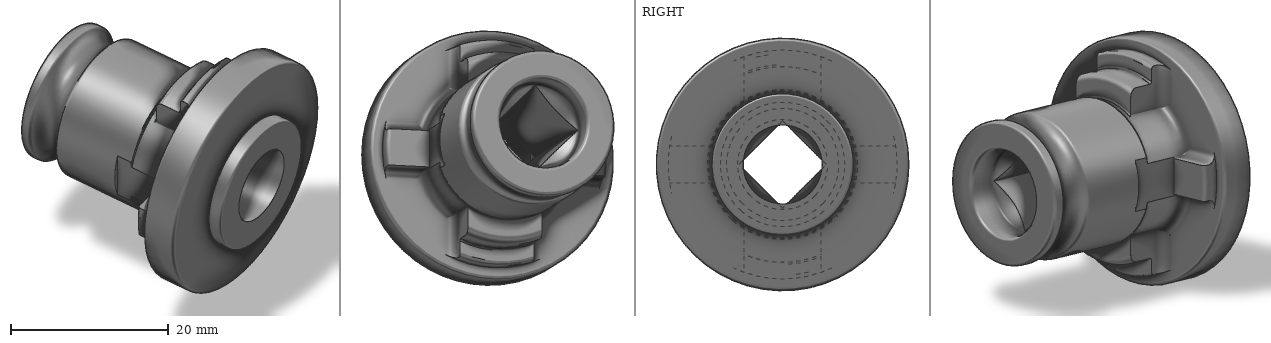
import cadquery as cq
import math

flat_start = 14.75
sleeve_end = 16.85
high_lug_front = 17.95
low_lug_front = 21.65
plate_front = 23.75
plate_back = 28.45
neck_end = 28.95
total_length = 30.8

collar_radius = 18.65 / 2
sleeve_radius = 19.0 / 2
hub_radius = 18.5 / 2
plate_radius = 32.0 / 2
neck_radius = 14.2 / 2
rear_flange_radius = 17.9 / 2

collar_round = 0.45
groove_edge_round = 0.48
step_round = 0.12
plate_round = 0.4
rear_round = 0.3
root_fillet = 1.28

groove_middle = 3.55
groove_floor_radius = 7.87
groove_arc_radius = 2.15

low_lug_radius = 14.5
low_lug_round = 0.48
high_lug_radius = 24.77 / 2
high_lug_round = 1.0
lug_step_fillet = 0.25
z_lug_width = 9.75
y_lug_width = 4.67
lug_back = (plate_front + plate_back) / 2
lug_base_fillet = 0.22
flat_distance = 8.9

bore_radius = 11.4 / 2
bore_depth = 3.8
bore_tip_half_angle = 60.0
mouth_round = 0.48
bore_floor_fillet = 0.48
socket_side = 7.85
rear_bore_radius = 10.0 / 2
rear_bore_start = plate_front

TOLERANCE = 3.2e-05


def revolve_x(profile):
    """Revolve a closed profile drawn as (x, radius) about the X axis."""
    return profile.close().revolve(360, (0, 0, 0), (1, 0, 0))


def groove_edge_x(radius, side):
    """X of the sharp edge where the groove arc meets a cylinder of the given radius."""
    arc_centre_radius = groove_floor_radius + groove_arc_radius
    half_width = math.sqrt(groove_arc_radius**2 - (arc_centre_radius - radius) ** 2)
    return groove_middle + side * half_width


def round_rim(body, x, radius, size):
    """Fillet the circular edge that lies at the given station and radius."""

    def is_rim(edge):
        if edge.geomType() != "CIRCLE":
            return False
        return math.isclose(edge.arcCenter().x, x, abs_tol=TOLERANCE) and math.isclose(
            edge.radius(), radius, abs_tol=TOLERANCE
        )

    return body.edges().filter(is_rim).fillet(size)


def make_turned_body():
    """Collar, groove, sleeve, hub, plate, neck and rear flange in one turning."""
    left_edge = groove_edge_x(collar_radius, -1)
    right_edge = groove_edge_x(sleeve_radius, 1)
    body = revolve_x(
        cq.Workplane("XY")
        .lineTo(0, collar_radius)
        .lineTo(left_edge, collar_radius)
        .threePointArc((groove_middle, groove_floor_radius), (right_edge, sleeve_radius))
        .lineTo(sleeve_end, sleeve_radius)
        .lineTo(sleeve_end, hub_radius)
        .lineTo(plate_front, hub_radius)
        .lineTo(plate_front, plate_radius)
        .lineTo(plate_back, plate_radius)
        .lineTo(plate_back, neck_radius)
        .lineTo(neck_end, neck_radius)
        .lineTo(neck_end, rear_flange_radius)
        .lineTo(total_length, rear_flange_radius)
        .lineTo(total_length, 0)
    )
    rims = [
        (0, collar_radius, collar_round),
        (left_edge, collar_radius, groove_edge_round),
        (right_edge, sleeve_radius, groove_edge_round),
        (sleeve_end, sleeve_radius, step_round),
        (sleeve_end, hub_radius, step_round),
        (plate_front, hub_radius, root_fillet),
        (plate_front, plate_radius, plate_round),
        (plate_back, plate_radius, plate_round),
        (total_length, rear_flange_radius, rear_round),
    ]
    for x, radius, size in rims:
        body = round_rim(body, x, radius, size)
    return body


def make_lug_ring(front, radius, front_round):
    """Solid ring, rounded at its front rim, that the lugs are cut from."""
    ring = revolve_x(
        cq.Workplane("XY")
        .moveTo(front, 0)
        .lineTo(front, radius)
        .lineTo(lug_back, radius)
        .lineTo(lug_back, 0)
    )
    return round_rim(ring, front, radius, front_round)


def make_lug_bar(front, width):
    """Bar across the axis along Z, flaring with root fillets where it meets the plate."""
    half = width / 2
    fillet_front = plate_front - root_fillet
    foot = half + root_fillet
    bulge = root_fillet * (1 - math.sqrt(0.5))
    return (
        cq.Workplane("XY")
        .moveTo(front, -half)
        .lineTo(fillet_front, -half)
        .threePointArc((plate_front - bulge, -half - bulge), (plate_front, -foot))
        .lineTo(lug_back, -foot)
        .lineTo(lug_back, foot)
        .lineTo(plate_front, foot)
        .threePointArc((plate_front - bulge, half + bulge), (fillet_front, half))
        .lineTo(front, half)
        .close()
        .extrude(plate_radius, both=True)
    )


def make_z_lugs():
    """Pair of stepped lugs at +Z and -Z."""
    rings = make_lug_ring(high_lug_front, high_lug_radius, high_lug_round).union(
        make_lug_ring(low_lug_front, low_lug_radius, low_lug_round)
    )
    rings = round_rim(rings, low_lug_front, high_lug_radius, lug_step_fillet)
    return rings.intersect(make_lug_bar(high_lug_front, z_lug_width))


def make_y_lugs():
    """Pair of low lugs at +Y and -Y."""
    bar = make_lug_bar(low_lug_front, y_lug_width).rotate((0, 0, 0), (1, 0, 0), 90)
    return make_lug_ring(low_lug_front, low_lug_radius, low_lug_round).intersect(bar)


def cut_flats(body):
    """Mill the flats at +Y and -Y that run from the sleeve up to the low lugs."""
    for side in (1, -1):
        cutter = cq.Workplane("XY").box(
            low_lug_front - flat_start,
            plate_radius,
            2 * sleeve_radius,
            centered=(False, True, True),
        )
        offset = flat_distance + plate_radius / 2
        body = body.cut(cutter.translate((flat_start, side * offset, 0)))
    return body


def x_cylinder(start, end, radius):
    """Cylinder along X between two stations."""
    return cq.Workplane("YZ", origin=(start, 0, 0)).circle(radius).extrude(end - start)


def make_bore():
    """Drilled mouth bore with a conical floor, square socket standing on its corner, and rear bore."""
    tip_length = bore_radius / math.tan(math.radians(bore_tip_half_angle))
    mouth = revolve_x(
        cq.Workplane("XY")
        .lineTo(0, bore_radius)
        .lineTo(bore_depth, bore_radius)
        .lineTo(bore_depth + tip_length, 0)
    )
    mouth = round_rim(mouth, bore_depth, bore_radius, bore_floor_fillet)
    socket = (
        cq.Workplane("YZ")
        .rect(socket_side, socket_side)
        .extrude(total_length)
        .rotate((0, 0, 0), (1, 0, 0), 45)
    )
    socket = socket.intersect(x_cylinder(0, rear_bore_start, bore_radius))
    return mouth.union(socket).union(x_cylinder(rear_bore_start, total_length, rear_bore_radius))


def round_lug_bases(body):
    """Fillet the crease where the lugs stand on the hub."""

    def is_base(edge):
        middle = edge.positionAt(0.5)
        on_hub = math.isclose(math.hypot(middle.y, middle.z), hub_radius, abs_tol=TOLERANCE)
        beside_lug = high_lug_front - TOLERANCE < middle.x < plate_front - root_fillet - TOLERANCE
        return on_hub and beside_lug

    return body.edges().filter(is_base).fillet(lug_base_fillet)


body = make_turned_body().union(make_z_lugs()).union(make_y_lugs())
body = cut_flats(round_lug_bases(body))
body = body.cut(make_bore())
result = round_rim(body, 0, bore_radius, mouth_round)